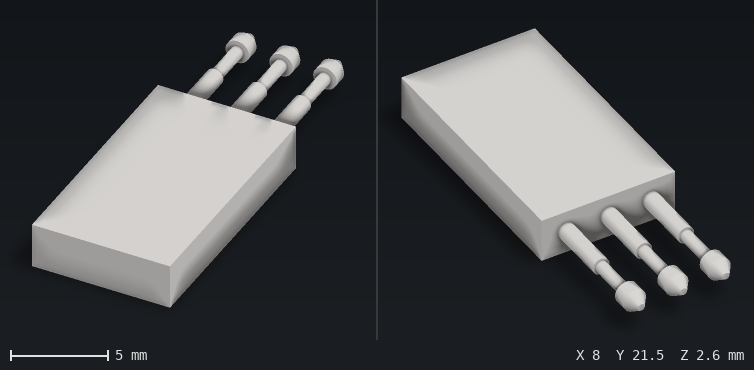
import cadquery as cq

total_length = 21.5
housing_width = 8.0
housing_length = 14.0
housing_height = 2.6

pin_count = 3
pin_pitch = 2.54
pin_axis_height = 0.09

sleeve_diameter = 1.0
sleeve_length = 3.5
rod_diameter = 0.7
head_diameter = 1.35
head_length = 1.5
tip_diameter = 0.4
cone_length = 0.67

sleeve_end = housing_length + sleeve_length
head_start = total_length - head_length
cone_start = total_length - cone_length


def make_housing():
    """Plain block, centred on X and Z."""
    return cq.Workplane("XY").box(
        housing_width, housing_length, housing_height, centered=(True, False, True)
    )


def make_pin(x):
    """Stepped pin revolved about its own Y axis, standing on the housing's front face."""
    half_profile = (
        cq.Workplane("XY")
        .moveTo(0, housing_length)
        .lineTo(sleeve_diameter / 2, housing_length)
        .lineTo(sleeve_diameter / 2, sleeve_end)
        .lineTo(rod_diameter / 2, sleeve_end)
        .lineTo(rod_diameter / 2, head_start)
        .lineTo(head_diameter / 2, head_start)
        .lineTo(head_diameter / 2, cone_start)
        .lineTo(tip_diameter / 2, total_length)
        .lineTo(0, total_length)
        .close()
    )
    pin = half_profile.revolve(360, (0, 0, 0), (0, 1, 0))
    return pin.translate((x, 0, pin_axis_height))


housing = make_housing()

first_pin_x = -pin_pitch * (pin_count - 1) / 2
pins = [make_pin(first_pin_x + i * pin_pitch) for i in range(pin_count)]

result = cq.Compound.makeCompound([housing.val(), *[pin.val() for pin in pins]])